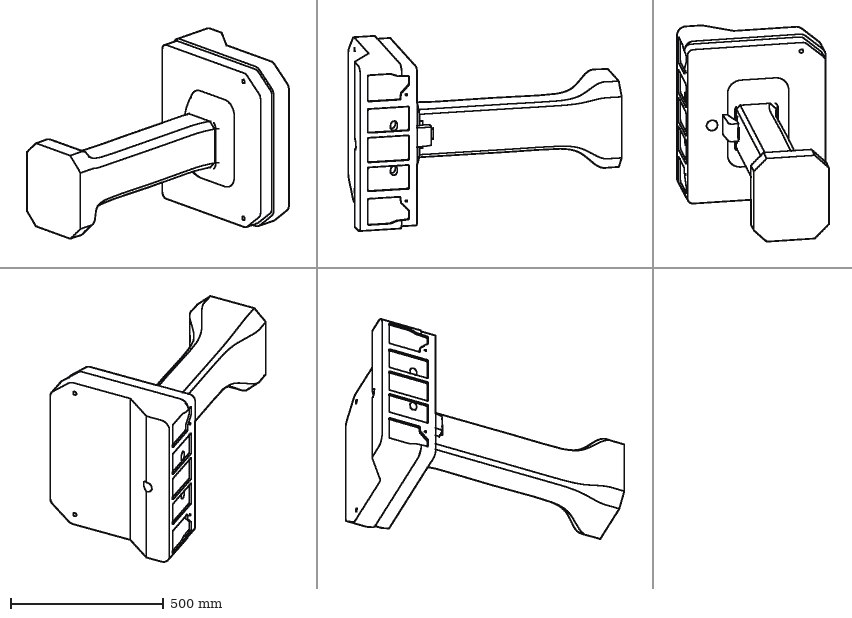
import cadquery as cq
import math


WIDTH = 470.0
HEIGHT = 560.0
HALF_HEIGHT = HEIGHT / 2
DEPTH = 191.0
THIN_DEPTH = 122.0
PLATE_DEPTH = 51.0
PLATE_INSET = 10.0
STEP_START_X = 84.0
STEP_END_X = 177.0
BEVEL_TOP_X = 395.0
BEVEL_SIDE_Z = 215.0
BEVEL_RADIUS = 29.0
SIDE_RADIUS = 30.0

SIGHT_HOLE_X = 82.0
SIGHT_HOLE_RADIUS = 18.0
SCREW_HOLE_X = 380.0
SCREW_HOLE_Z = 240.0
SCREW_HOLE_RADIUS = 6.0

POCKET_DEPTH = 7.0
POCKET_FRONT_Y = 27.0
POCKET_BACK_Y = 166.0
POCKET_RADIUS = 4.5
MIDDLE_POCKET_HEIGHT = 84.0
SIDE_POCKET_INNER_Z = 59.0
SIDE_POCKET_OUTER_Z = 140.0
CORNER_POCKET_INNER_Z = 165.0
CORNER_POCKET_OUTER_Z = 254.0
CORNER_POCKET_FRONT_EDGE = [
    (91.0, CORNER_POCKET_OUTER_Z),
    (68.0, 246.0),
    (POCKET_FRONT_Y, 243.5),
    (POCKET_FRONT_Y, 214.0),
    (54.0, 186.0),
    (56.0, CORNER_POCKET_INNER_Z),
]
SOCKET_Y = 77.0
SOCKET_Z = 76.0
SOCKET_HALF_WIDTH = 12.0
SOCKET_HALF_HEIGHT = 16.0
SOCKET_DEPTH = 36.0
PINHOLE_Y = 36.0
PINHOLE_Z = 180.0
PINHOLE_RADIUS = 3.0
PINHOLE_DEPTH = 9.0

ARM_X = 216.0
ARM_END_Y = DEPTH - 902
ARM_STATIONS = [
    (-27.0, 0, 19.0),
    (-38.0, 0, 15.0),
    (-75.0, 0, 4.5),
    (-108.0, 0, 0),
    (-144.0, 0, 0),
    (-433.0, 0, 0),
    (-505.0, 0, 0),
    (-553.0, 0.07, 0),
    (-580.0, 0.2, 0),
    (-613.0, 0.57, 0),
    (-640.0, 0.9, 0),
    (-658.5, 1, 0),
    (-676.5, 1, 0),
    (ARM_END_Y, 1, 0),
]
SHANK_HALF_WIDTH = 60.0
SHANK_HALF_HEIGHT = 81.0
SHANK_LEFT_CHAMFER = 13.0
SHANK_RIGHT_CHAMFER = 22.0
END_HALF_WIDTH = 125.0
END_HALF_HEIGHT = 146.0
END_LEFT_CHAMFER = 42.0
END_RIGHT_CHAMFER = 48.0

DOME_SECTIONS = [
    (0, 133.5, 337.0, 152.0, 45.0),
    (-18.0, 139.0, 315.0, 139.0, 45.0),
    (-32.5, 144.0, 298.0, 122.0, 41.0),
    (-43.0, 149.0, 295.0, 87.0, 27.0),
]
TAB_BASE_X = 118.0
TAB_TIP_X = 124.0
TAB_TIP_Y = -79.0
LATCH_ROOT_DEPTH = 9.0
TAB_BASE_HALF_HEIGHT = 34.0
TAB_TIP_HALF_HEIGHT = 31.0
TAB_RADIUS = 13.0
COLLAR_START_Y = -36.0
COLLAR_END_Y = -55.0
COLLAR_HALF_HEIGHT = 46.0
NUB_HALF_HEIGHT = 15.0
NUB_END_Y = -88.0
NUB_CAP_HALF_HEIGHT = 19.0
NUB_CAP_THICKNESS = 2.0
LATCH_PROUD = 3.0

ARM_LEFT_X = ARM_X - SHANK_HALF_WIDTH


def block(x0, x1, y0, y1, half_height):
    """Box from y0 back to the lower y1, centred on Z = 0."""
    box = cq.Workplane("XY").box(x1 - x0, y0 - y1, 2 * half_height, centered=(False, False, True))
    return box.translate((x0, y1, 0))


def y_cylinder(x, z, radius):
    """Cutter running along Y through the whole housing."""
    return cq.Workplane("XZ", origin=(x, DEPTH, z)).circle(radius).extrude(DEPTH)


def front_slab(inset, y0, y1):
    """Slab with the bevelled front outline, set in on all edges but the connector side."""
    right = WIDTH - inset
    top = HALF_HEIGHT - inset
    bevel_angle = math.atan2(HALF_HEIGHT - BEVEL_SIDE_Z, WIDTH - BEVEL_TOP_X)
    bevel_x = BEVEL_TOP_X - inset * math.tan(bevel_angle / 2)
    bevel_z = BEVEL_SIDE_Z - inset * math.tan((math.pi / 2 - bevel_angle) / 2)
    outline = [(0, -top), (bevel_x, -top), (right, -bevel_z), (right, bevel_z), (bevel_x, top), (0, top)]
    slab = cq.Workplane("XZ", origin=(0, y1, 0)).polyline(outline).close().extrude(y1 - y0)
    slab = slab.edges("|Y and (not <X)").fillet(BEVEL_RADIUS - inset)
    return slab.edges("|Y and <X").fillet(SIDE_RADIUS - inset)


def side_pockets():
    """Shallow recesses and small holes cut into the connector side."""
    length = POCKET_BACK_Y - POCKET_FRONT_Y
    middle_y = (POCKET_BACK_Y + POCKET_FRONT_Y) / 2
    side_height = SIDE_POCKET_OUTER_Z - SIDE_POCKET_INNER_Z
    side_z = (SIDE_POCKET_OUTER_Z + SIDE_POCKET_INNER_Z) / 2

    middle = cq.Workplane("YZ").center(middle_y, 0).rect(length, MIDDLE_POCKET_HEIGHT)
    cutters = middle.extrude(POCKET_DEPTH).edges("|X").fillet(POCKET_RADIUS)
    corner_outline = [(POCKET_BACK_Y, CORNER_POCKET_INNER_Z), (POCKET_BACK_Y, CORNER_POCKET_OUTER_Z)]
    corner_outline += CORNER_POCKET_FRONT_EDGE
    for side in (1, -1):
        slot = cq.Workplane("YZ").center(middle_y, side * side_z).rect(length, side_height)
        cutters = cutters.union(slot.extrude(POCKET_DEPTH).edges("|X").fillet(POCKET_RADIUS))
        corner = cq.Workplane("YZ").polyline([(y, side * z) for y, z in corner_outline]).close()
        cutters = cutters.union(corner.extrude(POCKET_DEPTH).edges("|X").fillet(POCKET_RADIUS))
        socket = cq.Workplane("YZ").center(SOCKET_Y, side * SOCKET_Z)
        cutters = cutters.union(socket.ellipse(SOCKET_HALF_WIDTH, SOCKET_HALF_HEIGHT).extrude(SOCKET_DEPTH))
        pinhole = cq.Workplane("YZ").center(PINHOLE_Y, side * PINHOLE_Z)
        cutters = cutters.union(pinhole.circle(PINHOLE_RADIUS).extrude(PINHOLE_DEPTH))
    return cutters


def make_housing():
    """Deep back slab with a sloped step behind, and a smaller front plate."""
    back = front_slab(0, PLATE_DEPTH, DEPTH)
    relief_outline = [
        (STEP_START_X, DEPTH),
        (STEP_END_X, THIN_DEPTH),
        (WIDTH, THIN_DEPTH),
        (WIDTH, DEPTH),
    ]
    relief = cq.Workplane("XY").polyline(relief_outline).close().extrude(HALF_HEIGHT, both=True)
    body = back.cut(relief).union(front_slab(PLATE_INSET, 0, PLATE_DEPTH))
    body = body.cut(y_cylinder(SIGHT_HOLE_X, 0, SIGHT_HOLE_RADIUS))
    for side in (1, -1):
        body = body.cut(y_cylinder(SCREW_HOLE_X, side * SCREW_HOLE_Z, SCREW_HOLE_RADIUS))
    return body.cut(side_pockets())


def arm_corners(y, flare, spread):
    """Corners of a chamfered rectangle; flare is 0 at the shank and 1 at the end block."""

    def blend(shank, end):
        return shank + flare * (end - shank)

    half_width = blend(SHANK_HALF_WIDTH, END_HALF_WIDTH)
    left = ARM_X - half_width
    right = ARM_X + half_width + spread
    top = blend(SHANK_HALF_HEIGHT, END_HALF_HEIGHT)
    left_cut = blend(SHANK_LEFT_CHAMFER, END_LEFT_CHAMFER)
    right_cut = blend(SHANK_RIGHT_CHAMFER, END_RIGHT_CHAMFER)
    upper = [
        (left, top - left_cut),
        (left + left_cut, top),
        (right - right_cut, top),
        (right, top - right_cut),
    ]
    lower = [(x, -z) for x, z in reversed(upper)]
    return [cq.Vector(x, y, z) for x, z in upper + lower]


def make_arm():
    """Eight long ruled faces between smooth corner curves, closed by two flat ends."""
    sections = [arm_corners(*station) for station in ARM_STATIONS]
    along_arm = cq.Vector(0, -1, 0)
    curves = [cq.Edge.makeSpline(list(corner), [along_arm, along_arm]) for corner in zip(*sections)]
    faces = [cq.Face.makeRuledSurface(curves[i - 1], curves[i]) for i in range(len(curves))]
    for corners in (sections[0], sections[-1]):
        faces.append(cq.Face.makeFromWires(cq.Wire.makePolygon(corners, close=True)))
    return cq.Workplane(obj=cq.Solid.makeSolid(cq.Shell.makeShell(faces)).fix())


def rounded_wire(y, left, right, half_height, radius):
    """Wire of a rounded rectangle parallel to the mounting face."""
    plane = cq.Workplane("XZ", origin=((left + right) / 2, y, 0))
    slab = plane.rect(right - left, 2 * half_height).extrude(9)
    return slab.edges("|Y").fillet(radius).faces(">Y").wires().val()


def upright_rectangle(y, left, right, half_height):
    """Rectangular wire parallel to the mounting face."""
    corners = [(left, -half_height), (right, -half_height), (right, half_height), (left, half_height)]
    return cq.Wire.makePolygon([cq.Vector(x, y, z) for x, z in corners], close=True)


def make_dome():
    """Rounded pedestal that narrows from the mounting face towards the arm."""
    return cq.Workplane(obj=cq.Solid.makeLoft([rounded_wire(*section) for section in DOME_SECTIONS]))


def make_latch():
    """Tapered tab beside the arm, with its collar and nub, all rooted in the arm."""
    inner_x = ARM_LEFT_X + LATCH_ROOT_DEPTH
    proud_x = ARM_LEFT_X - LATCH_PROUD
    tab_base = upright_rectangle(0, TAB_BASE_X, inner_x, TAB_BASE_HALF_HEIGHT)
    tab_tip = upright_rectangle(TAB_TIP_Y, TAB_TIP_X, inner_x, TAB_TIP_HALF_HEIGHT)
    tab = cq.Workplane(obj=cq.Solid.makeLoft([tab_base, tab_tip], True))
    tab = tab.faces("<Y").edges("<X").fillet(TAB_RADIUS)
    collar = block(proud_x, inner_x, COLLAR_START_Y, COLLAR_END_Y, COLLAR_HALF_HEIGHT)
    nub = block(proud_x, inner_x, TAB_TIP_Y, NUB_END_Y, NUB_HALF_HEIGHT)
    nub_cap = block(proud_x, inner_x, NUB_END_Y, NUB_END_Y - NUB_CAP_THICKNESS, NUB_CAP_HALF_HEIGHT)
    return tab.union(collar).union(nub).union(nub_cap)


latch = make_latch()
whole_arm = make_arm()

housing = make_housing()
mount = make_dome().cut(whole_arm).union(latch)
arm = whole_arm.cut(latch)
result = cq.Compound.makeCompound([housing.solids().val(), mount.solids().val(), arm.solids().val()])